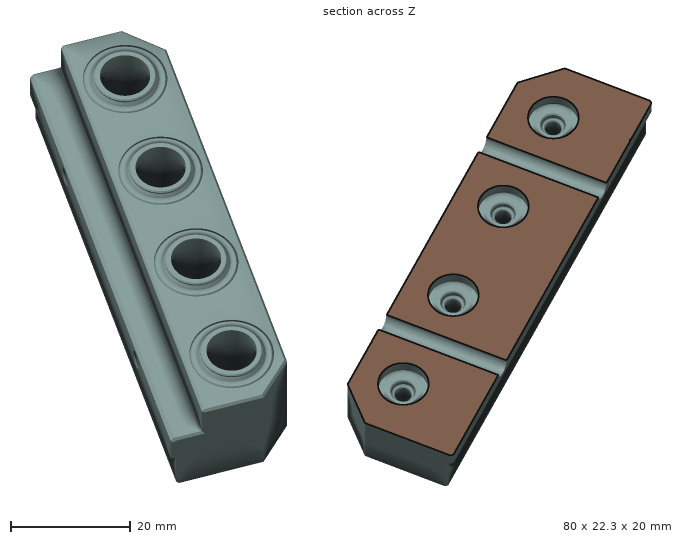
import cadquery as cq

length = 80.0
body_top = 19.0
total_height = 20.0
total_depth = 22.25
nose_setback = 1.0
upper_setback = 5.5
flange_height = 6.0
flange_mid_z = 10.0
corner_cut = 6.0
edge_chamfer = 0.4
nose_chamfer = 0.6

cross_hole_count = 2
cross_hole_diameter = 3.2
cross_hole_pitch = 40.0

socket_count = 4
socket_pitch = 20.0
socket_y = -8.5
seat_diameter = 13.5
recess_diameter = 14.2
seat_chamfer = (recess_diameter - seat_diameter) / 2
collar_base_diameter = 11.5
collar_diameter = 10.45
collar_foot_height = 0.5
collar_rim_chamfer = 0.2
bore_diameter = 8.45
bore_floor_z = 8.0
pilot_diameter = 4.1
pilot_depth = 1.0
pilot_countersink = 0.2
through_diameter = 2.8
through_countersink = 0.2

nose_y = -total_depth
lower_front_y = nose_y + nose_setback
upper_front_y = nose_y + upper_setback
flange_bottom = flange_mid_z - flange_height / 2
flange_top = flange_mid_z + flange_height / 2


def row_positions(count, pitch):
    """X positions of a row centred on X = 0."""
    return [(i - (count - 1) / 2) * pitch for i in range(count)]


def make_body():
    """Stepped profile along X with cut back corners and broken edges."""
    profile = [
        (0, 0),
        (lower_front_y, 0),
        (lower_front_y, flange_bottom),
        (nose_y, flange_bottom),
        (nose_y, flange_top),
        (upper_front_y, flange_top),
        (upper_front_y, body_top),
        (0, body_top),
    ]
    bar = cq.Workplane("YZ").polyline(profile).close().extrude(length / 2, both=True)
    bar = bar.edges("|Z and >Y").chamfer(corner_cut)
    bar = bar.edges("|X and <Y").chamfer(nose_chamfer)
    end_edges = bar.faces("<X or >X").edges("not >Y")
    rim_edges = bar.faces("<Z or >Z").edges()
    return end_edges.add(rim_edges).chamfer(edge_chamfer)


def drill_cross_holes(part):
    """Round holes straight through along Y."""
    for x in row_positions(cross_hole_count, cross_hole_pitch):
        drill = (
            cq.Workplane("XZ", origin=(x, 0, flange_mid_z))
            .circle(cross_hole_diameter / 2)
            .extrude(total_depth)
        )
        part = part.cut(drill)
    return part


def turned(points, x):
    """Solid of revolution about the vertical axis of the socket at x."""
    profile = cq.Workplane("XZ", origin=(x, socket_y, 0)).polyline(points).close()
    return profile.revolve(360, (0, 0, 0), (0, 1, 0))


def add_socket(part, x):
    """Collar with a conical foot, chamfered seat flange and stepped bore of one socket."""
    collar_radius = collar_diameter / 2
    collar = turned(
        [
            (0, body_top),
            (collar_base_diameter / 2, body_top),
            (collar_radius, body_top + collar_foot_height),
            (collar_radius, total_height - collar_rim_chamfer),
            (collar_radius - collar_rim_chamfer, total_height),
            (0, total_height),
        ],
        x,
    )
    groove = turned(
        [
            (seat_diameter / 2, body_top),
            (recess_diameter / 2, body_top),
            (recess_diameter / 2, body_top - seat_chamfer),
        ],
        x,
    )
    through = through_diameter / 2
    pilot = pilot_diameter / 2
    pilot_floor_z = bore_floor_z - pilot_depth
    bore = turned(
        [
            (0, 0),
            (through, 0),
            (through, pilot_floor_z - through_countersink),
            (through + through_countersink, pilot_floor_z),
            (pilot, pilot_floor_z),
            (pilot, bore_floor_z - pilot_countersink),
            (pilot + pilot_countersink, bore_floor_z),
            (bore_diameter / 2, bore_floor_z),
            (bore_diameter / 2, total_height),
            (0, total_height),
        ],
        x,
    )
    return part.union(collar).cut(groove).cut(bore)


result = drill_cross_holes(make_body())
for socket_x in row_positions(socket_count, socket_pitch):
    result = add_socket(result, socket_x)